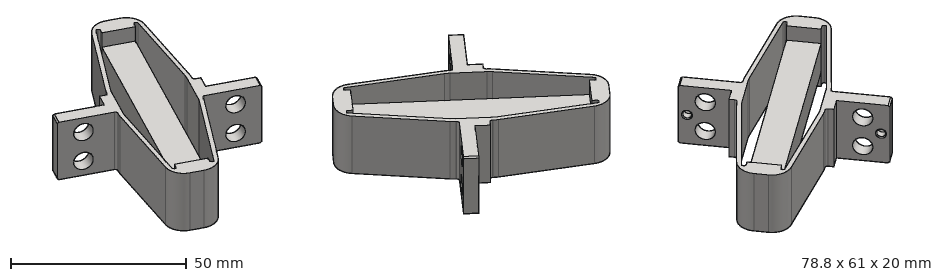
import cadquery as cq
import math

LENGTH = 78.8
WIDTH = 61.0
HEIGHT = 20.0

ARM_ANGLE = 9.6
WALL = 1.4
CROWN_HALF_WIDTH = 12.7
BEND_CORNER_X = 6.1
BEND_RADIUS = 10.0
END_RADIUS = 5.8
SLOT_END_X = 36.0
SLOT_END_RADIUS = 0.55

STACK_LENGTH = 68.1
STACK_SIDE = 10.0

PLATE_THICKNESS = 4.3
PLATE_CHAMFER = 0.5
BLOCK_LENGTH = 4.4
BLOCK_HALF_WIDTH = 15.1
ROOT_FILLET = 0.8

BOLT_DIAMETER = 5.8
BOLT_Y = 22.7
BOLT_SPACING = 10.0
PIN_DIAMETER = 2.5
PIN_Y = 28.0
PIN_DEPTH = 2.5
PIN_CHAMFER = 0.3
DRILL_TIP_ANGLE = 118.0

SLOPE = math.tan(math.radians(ARM_ANGLE))
INNER_HALF_WIDTH = CROWN_HALF_WIDTH - WALL


def arm_y(x, crown_y):
    """Y of the sloping line that leaves the crown at its bend corner."""
    return crown_y - (x - BEND_CORNER_X) * SLOPE


def vertical_edges_at(body, x, y):
    """Pick the upright edges at (+-x, +-y)."""
    def matches(edge):
        center = edge.Center()
        return math.isclose(abs(center.x), x, abs_tol=0.0001) and math.isclose(abs(center.y), y, abs_tol=0.0001)
    return body.newObject([edge for edge in body.edges("|Z").vals() if matches(edge)])


def make_envelope():
    """Solid outer shape of the frame, with rounded ends and bends."""
    end_x = LENGTH / 2
    end_y = arm_y(end_x, CROWN_HALF_WIDTH)
    quarter = [(BEND_CORNER_X, CROWN_HALF_WIDTH), (end_x, end_y)]
    outline = (
        [(-x, y) for x, y in reversed(quarter)]
        + quarter
        + [(x, -y) for x, y in reversed(quarter)]
        + [(-x, -y) for x, y in quarter]
    )
    body = cq.Workplane("XY").polyline(outline).close().extrude(HEIGHT)
    body = vertical_edges_at(body, BEND_CORNER_X, CROWN_HALF_WIDTH).fillet(BEND_RADIUS)
    return vertical_edges_at(body, end_x, end_y).fillet(END_RADIUS)


def make_slot():
    """Opening between the +Y arms and the stack, narrowing to a round tip at each end."""
    tip_y = arm_y(SLOT_END_X, INNER_HALF_WIDTH)
    pad_y = STACK_SIDE / 2
    outline = [
        (-SLOT_END_X, pad_y),
        (-SLOT_END_X, tip_y),
        (-BEND_CORNER_X, INNER_HALF_WIDTH),
        (BEND_CORNER_X, INNER_HALF_WIDTH),
        (SLOT_END_X, tip_y),
        (SLOT_END_X, pad_y),
    ]
    slot = cq.Workplane("XY").polyline(outline).close().extrude(HEIGHT)
    slot = vertical_edges_at(slot, BEND_CORNER_X, INNER_HALF_WIDTH).fillet(BEND_RADIUS)
    for corner_y in (pad_y, tip_y):
        slot = vertical_edges_at(slot, SLOT_END_X, corner_y).fillet(SLOT_END_RADIUS)
    return slot


def make_plate():
    """+Y mounting plate with its chamfered free end and thickened root."""
    plate = (
        cq.Workplane("XY")
        .box(PLATE_THICKNESS, WIDTH / 2 - INNER_HALF_WIDTH, HEIGHT, centered=False)
        .translate((0, INNER_HALF_WIDTH, 0))
        .faces(">Y").edges("|X").chamfer(PLATE_CHAMFER)
    )
    block = (
        cq.Workplane("XY")
        .box(BLOCK_LENGTH, BLOCK_HALF_WIDTH - INNER_HALF_WIDTH, HEIGHT, centered=False)
        .translate((-BLOCK_LENGTH, INNER_HALF_WIDTH, 0))
    )
    return plate.union(block)


def make_bolt_holes():
    """Pair of through holes for the +Y plate."""
    return (
        cq.Workplane("YZ")
        .pushPoints([(BOLT_Y, HEIGHT / 2 + side * BOLT_SPACING / 2) for side in (-1, 1)])
        .circle(BOLT_DIAMETER / 2)
        .extrude(PLATE_THICKNESS)
    )


def make_pin_hole():
    """Blind hole from the -X face of the +Y plate, chamfered at its mouth and with a drilled tip."""
    radius = PIN_DIAMETER / 2
    tip_depth = PIN_DEPTH + radius / math.tan(math.radians(DRILL_TIP_ANGLE / 2))
    profile = [
        (0, 0),
        (0, radius + PIN_CHAMFER),
        (PIN_CHAMFER, radius),
        (PIN_DEPTH, radius),
        (tip_depth, 0),
    ]
    hole = cq.Workplane("XY").polyline(profile).close().revolve(360, (0, 0, 0), (1, 0, 0))
    return hole.translate((0, PIN_Y, HEIGHT / 2))


def make_frame():
    """Flexure frame: rounded ends, four arms and two mounting plates."""
    slot = make_slot()
    plate = make_plate()
    holes = make_bolt_holes().union(make_pin_hole())

    frame = make_envelope()
    frame = frame.cut(slot).cut(slot.mirror("XZ"))
    pocket = cq.Workplane("XY").box(STACK_LENGTH, STACK_SIDE, HEIGHT, centered=(True, True, False))
    frame = frame.cut(pocket)
    frame = frame.union(plate).union(plate.mirror("XZ"))
    for root_x in (BLOCK_LENGTH, PLATE_THICKNESS):
        frame = vertical_edges_at(frame, root_x, CROWN_HALF_WIDTH).fillet(ROOT_FILLET)
    return frame.cut(holes).cut(holes.mirror("XZ")).solids()


def make_stack():
    """Square actuator bar, centred in the frame and touching both end pads."""
    return cq.Workplane("XY").box(STACK_LENGTH, STACK_SIDE, STACK_SIDE).translate((0, 0, HEIGHT / 2))


frame = make_frame()
stack = make_stack()
result = cq.Compound.makeCompound([frame.val(), stack.val()])